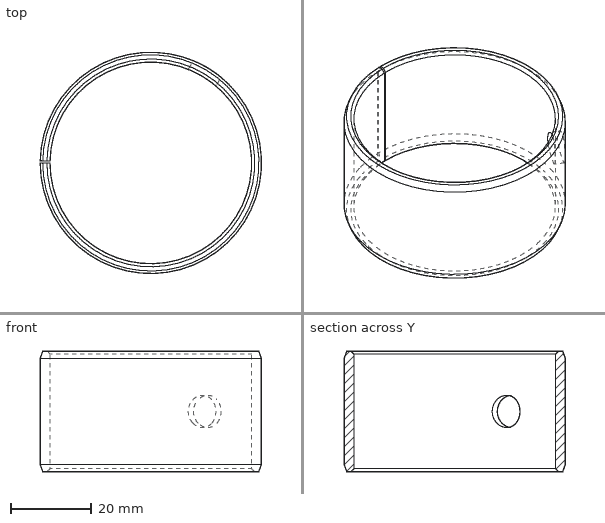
import cadquery as cq
import math

outer_diameter = 55.0
wall_thickness = 2.5
length = 30.0

outer_chamfer_angle = 20.0
outer_chamfer_length = 1.8
outer_chamfer_depth = outer_chamfer_length * math.tan(math.radians(outer_chamfer_angle))

bore_chamfer = 0.8

joint_start_angle = 180.0
joint_gap_angle = 1.0

oil_hole_diameter = 8.0
oil_hole_angle = 59.0
oil_hole_height = 0.0

outer_radius = outer_diameter / 2
inner_radius = outer_radius - wall_thickness
half_length = length / 2


def make_sleeve():
    """Revolve the chamfered wall section about the Z axis, leaving the joint gap open."""
    outer_land = half_length - outer_chamfer_length
    bore_land = half_length - bore_chamfer
    rim_outer = outer_radius - outer_chamfer_depth
    rim_inner = inner_radius + bore_chamfer
    section = [
        (inner_radius, -bore_land),
        (rim_inner, -half_length),
        (rim_outer, -half_length),
        (outer_radius, -outer_land),
        (outer_radius, outer_land),
        (rim_outer, half_length),
        (rim_inner, half_length),
        (inner_radius, bore_land),
    ]
    profile = cq.Workplane("XZ").polyline(section).close()
    sleeve = profile.revolve(360 - joint_gap_angle, (0, 0), (0, 1))
    return sleeve.rotate((0, 0, 0), (0, 0, 1), joint_start_angle)


def make_oil_hole():
    """Radial cylinder that starts on the axis and leaves through one wall."""
    drill = cq.Workplane("YZ").circle(oil_hole_diameter / 2).extrude(outer_diameter)
    drill = drill.translate((0, 0, oil_hole_height))
    return drill.rotate((0, 0, 0), (0, 0, 1), oil_hole_angle)


result = make_sleeve().cut(make_oil_hole())